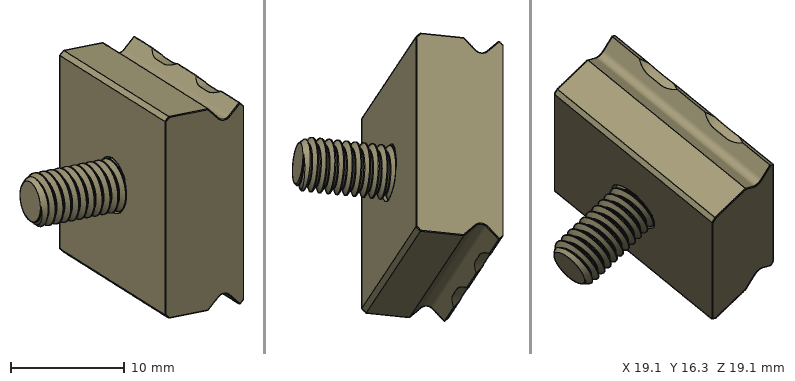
import cadquery as cq
import math

PLATE_SIDE = 19.05
PLATE_DEPTH = 7.95
HALF_SIDE = PLATE_SIDE / 2
CORNER_CHAMFER = 0.4
END_CHAMFER = 0.08

GROOVE_WIDTH = 3.18
GROOVE_RADIUS = 0.75

SCOOP_OFFSET = 3.95
SCOOP_FLAT = 1.28
SCOOP_DEPTH = 0.48
SCOOP_RADIUS = 3.0

TOTAL_DEPTH = 16.27
SCREW_PROJECTION = TOTAL_DEPTH - PLATE_DEPTH
SCREW_LENGTH = 9.52
THREAD_DIAMETER = 4.82
THREAD_TURNS = 12
THREAD_PITCH = SCREW_LENGTH / THREAD_TURNS
TIP_DIAMETER = 3.68
TIP_HALF_ANGLE = 40.0
CREST_OFFSET = 0.76

HOLE_DIAMETER = 5.1
HOLE_DEPTH = SCREW_LENGTH - SCREW_PROJECTION

CREST_FLAT = THREAD_PITCH / 8
ROOT_FLAT = THREAD_PITCH / 8
FLANK_HALF_ANGLE = 30.0
FLANK_TAN = math.tan(math.radians(FLANK_HALF_ANGLE))
THREAD_HEIGHT = (THREAD_PITCH - CREST_FLAT - ROOT_FLAT) / 2 / FLANK_TAN
THREAD_RADIUS = THREAD_DIAMETER / 2
ROOT_RADIUS = THREAD_RADIUS - THREAD_HEIGHT
CUTTER_OVERSHOOT = 0.01


def plate_blank():
    """Grooveless block with its long edges chamfered; front face on Y = 0."""
    block = cq.Workplane("XY").box(PLATE_SIDE, PLATE_DEPTH, PLATE_SIDE, centered=(True, False, True))
    return block.edges("|X").chamfer(CORNER_CHAMFER)


def groove_cutter():
    """V-shaped bar with a rounded lower edge, lying along the top side."""
    rear = PLATE_DEPTH - CORNER_CHAMFER
    half_width = GROOVE_WIDTH / 2
    middle = rear - half_width
    bar = (
        cq.Workplane("YZ")
        .moveTo(rear, HALF_SIDE)
        .lineTo(middle, HALF_SIDE - half_width)
        .lineTo(rear - GROOVE_WIDTH, HALF_SIDE)
        .close()
        .extrude(HALF_SIDE, both=True)
    )
    return bar.edges("<Z").fillet(GROOVE_RADIUS)


def scoop_cutter(center_x):
    """Flat-bottomed scoop with round ends, cutting only the rim behind the groove."""
    floor = HALF_SIDE - SCOOP_DEPTH
    half_flat = SCOOP_FLAT / 2
    run = math.sqrt(SCOOP_RADIUS**2 - (SCOOP_RADIUS - SCOOP_DEPTH) ** 2)
    half_run = SCOOP_RADIUS * math.sin(math.asin(run / SCOOP_RADIUS) / 2)
    half_rise = SCOOP_RADIUS - math.sqrt(SCOOP_RADIUS**2 - half_run**2)
    rim_depth = CORNER_CHAMFER + GROOVE_WIDTH / 2
    return (
        cq.Workplane("XZ", origin=(center_x, PLATE_DEPTH, 0))
        .moveTo(-half_flat - run, HALF_SIDE)
        .threePointArc((-half_flat - half_run, floor + half_rise), (-half_flat, floor))
        .lineTo(half_flat, floor)
        .threePointArc((half_flat + half_run, floor + half_rise), (half_flat + run, HALF_SIDE))
        .close()
        .extrude(rim_depth)
    )


def bevel_ends(body):
    """Chamfer the end face outlines in front of the crest between groove and rear chamfer."""
    crest = PLATE_DEPTH - CORNER_CHAMFER
    front_part = cq.selectors.BoxSelector(
        (-PLATE_SIDE, -PLATE_DEPTH, -PLATE_SIDE),
        (PLATE_SIDE, crest, PLATE_SIDE),
    )
    return body.faces("<X or >X").edges(front_part).chamfer(END_CHAMFER)


def make_plate():
    body = plate_blank()
    groove = groove_cutter()
    body = body.cut(groove).cut(groove.mirror("XY"))
    body = bevel_ends(body)
    for center_x in (-SCOOP_OFFSET, SCOOP_OFFSET):
        scoop = scoop_cutter(center_x)
        body = body.cut(scoop).cut(scoop.mirror("XY"))
    hole = cq.Workplane("XZ").circle(HOLE_DIAMETER / 2).extrude(-HOLE_DEPTH)
    return body.cut(hole)


def thread_cutter():
    """Helical V bar around Z that clears one thread groove past both ends of the screw."""
    first_groove = HOLE_DEPTH + CREST_OFFSET + THREAD_PITCH / 2
    start = first_groove - THREAD_PITCH * (math.ceil(first_groove / THREAD_PITCH) + 1)
    turns = math.ceil((SCREW_LENGTH - start) / THREAD_PITCH) + 1
    outer_radius = THREAD_RADIUS + CUTTER_OVERSHOOT
    half_root = ROOT_FLAT / 2
    half_mouth = half_root + (outer_radius - ROOT_RADIUS) * FLANK_TAN
    path = cq.Wire.makeHelix(THREAD_PITCH, turns * THREAD_PITCH, ROOT_RADIUS)
    bar = (
        cq.Workplane("XZ")
        .moveTo(ROOT_RADIUS, -half_root)
        .lineTo(outer_radius, -half_mouth)
        .lineTo(outer_radius, half_mouth)
        .lineTo(ROOT_RADIUS, half_root)
        .close()
        .sweep(cq.Workplane(obj=path), isFrenet=True)
    )
    return bar.translate((0, 0, start))


def screw_blank():
    """Cylinder with a conical tip that has no thread yet."""
    cone_length = (THREAD_RADIUS - TIP_DIAMETER / 2) / math.tan(math.radians(TIP_HALF_ANGLE))
    return (
        cq.Workplane("XZ")
        .moveTo(0, 0)
        .lineTo(THREAD_RADIUS, 0)
        .lineTo(THREAD_RADIUS, SCREW_LENGTH - cone_length)
        .lineTo(TIP_DIAMETER / 2, SCREW_LENGTH)
        .lineTo(0, SCREW_LENGTH)
        .close()
        .revolve(360, (0, 0, 0), (0, 1, 0))
    )


def make_screw():
    """Screw modelled upward along Z, then laid over to point to -Y from the hole floor."""
    screw = screw_blank().cut(thread_cutter())
    return screw.rotate((0, 0, 0), (1, 0, 0), 90).translate((0, HOLE_DEPTH, 0))


plate = make_plate()
screw = make_screw()

result = cq.Compound.makeCompound([plate.solids().val(), screw.solids().val()])